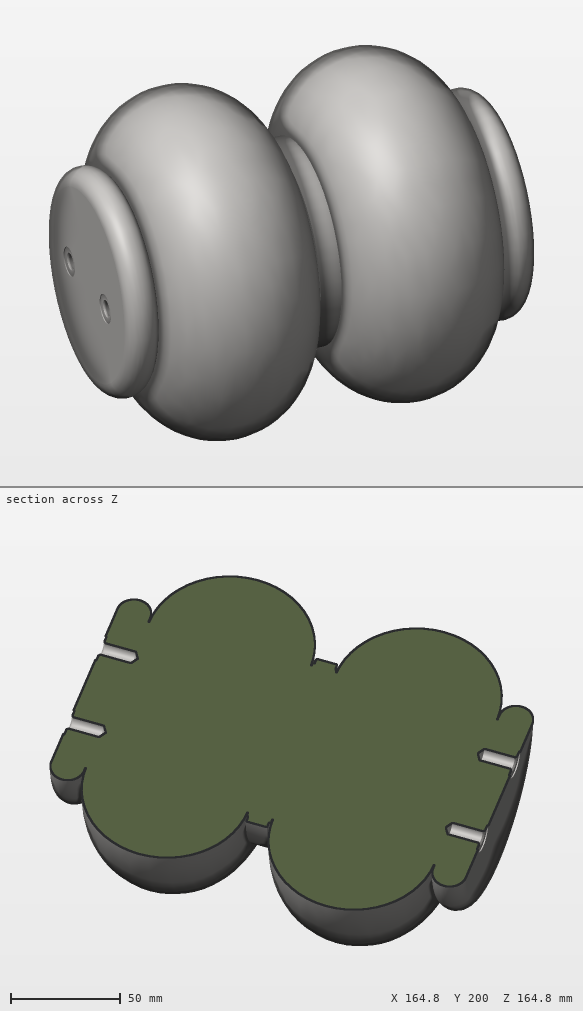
import cadquery as cq
import math

length = 200.0
outer_diameter = 164.8

bead_radius = 8.0
plate_diameter = 92.0

band_diameter = 98.0
band_width = 10.2
neck_diameter = 92.0
neck_width = 12.0

hole_diameter = 6.5
hole_mouth_diameter = 8.2
recess_diameter = 14.0
recess_depth = 0.5
hole_spacing = 44.5
hole_depth = 16.0
drill_point_angle = 118.0

half_length = length / 2
bellow_inner_y = neck_width / 2
bellow_outer_y = half_length - 2 * bead_radius
bellow_radius = (bellow_outer_y - bellow_inner_y) / 2


def disc(diameter, width):
    """Cylinder along Y, centred on the origin."""
    return cq.Workplane("XZ").circle(diameter / 2).extrude(width).translate((0, width / 2, 0))


def rounded_ring(core_radius, y_start, y_end):
    """Solid disc with a half-round rim, between two positions along Y."""
    rim_radius = (y_end - y_start) / 2
    return (
        cq.Workplane("XY")
        .moveTo(0, y_start)
        .lineTo(core_radius, y_start)
        .threePointArc(
            (core_radius + rim_radius, y_start + rim_radius),
            (core_radius, y_end),
        )
        .lineTo(0, y_end)
        .close()
        .revolve(360, (0, 0, 0), (0, 1, 0))
    )


def half_body():
    """Bellow and end bead on the +Y side."""
    bellow = rounded_ring(outer_diameter / 2 - bellow_radius, bellow_inner_y, bellow_outer_y)
    bead = rounded_ring(plate_diameter / 2, bellow_outer_y, half_length)
    return bellow.union(bead)


def mounting_hole(x):
    """Cutter for a shallow recess and a drilled hole with a 45 degree mouth, entering the +Y end."""
    radius = hole_diameter / 2
    mouth_radius = hole_mouth_diameter / 2
    chamfer = mouth_radius - radius
    recess_radius = recess_diameter / 2
    recess_y = half_length - recess_depth
    bottom_y = half_length - hole_depth
    tip_y = bottom_y - radius / math.tan(math.radians(drill_point_angle / 2))
    return (
        cq.Workplane("XY")
        .polyline([
            (0, half_length),
            (recess_radius, half_length),
            (recess_radius, recess_y),
            (mouth_radius, recess_y),
            (radius, recess_y - chamfer),
            (radius, bottom_y),
            (0, tip_y),
        ])
        .close()
        .revolve(360, (0, 0, 0), (0, 1, 0))
        .translate((x, 0, 0))
    )


half = half_body()
for side in (-1, 1):
    half = half.cut(mounting_hole(side * hole_spacing / 2))

result = (
    disc(neck_diameter, neck_width)
    .union(disc(band_diameter, band_width))
    .union(half)
    .union(half.mirror("XZ"))
)